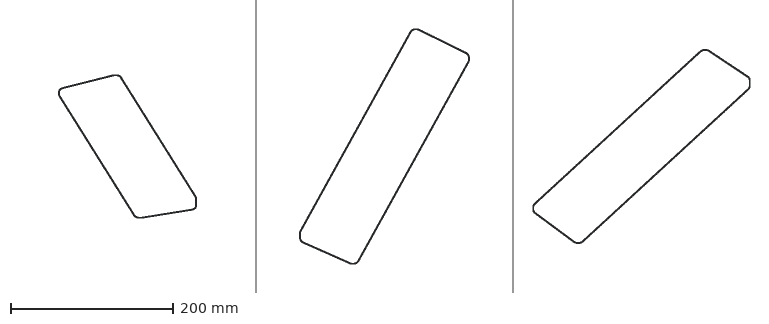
import cadquery as cq

length = 321.58
depth = 80.0
back_height = 15.03
front_height = 7.0

corner_radius = 8.0
top_edge_radius = 2.0
bottom_edge_radius = 2.0


def make_wedge():
    """Wedge rising from front (-Y) to back (+Y), centred on X and Y, resting on Z = 0."""
    side_profile = [
        (-depth / 2, 0),
        (depth / 2, 0),
        (depth / 2, back_height),
        (-depth / 2, front_height),
    ]
    return cq.Workplane("YZ").polyline(side_profile).close().extrude(length / 2, both=True)


def round_edges(body):
    """Round the upright corners, then the rims of the sloping top and the flat base."""
    body = body.edges("|Z").fillet(corner_radius)
    body = body.faces(">Z").edges().fillet(top_edge_radius)
    return body.faces("<Z").edges().fillet(bottom_edge_radius)


result = round_edges(make_wedge())